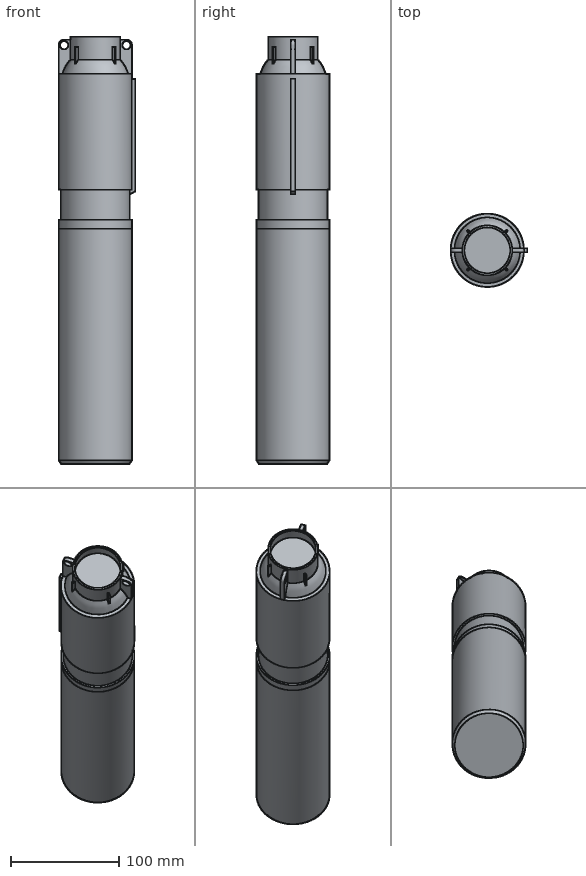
import cadquery as cq

TOTAL_HEIGHT = 395.0
BODY_RADIUS = 68.0 / 2

MOTOR_TOP = 217.5
BASE_CHAMFER_HEIGHT = 3.5
BASE_CHAMFER_WIDTH = 2.5

COLLAR_TOP = 226.0
SUCTION_RADIUS = 64.0 / 2
BARREL_BOTTOM = 253.5
BARREL_TOP = 360.5
DOME_BASE_RADIUS = 30.5
DOME_TOP = 373.5
DOME_MID_RADIUS = 27.3
DOME_MID_Z = 368.0
OUTLET_RADIUS = 46.2 / 2
BORE_DIAMETER = 42.3
BORE_DEPTH = 10.5

PLATE_THICKNESS = 4.0
LUG_TOP = 392.2
LUG_CORNER_RADIUS = 5.0
LUG_HOLE_DIAMETER = 7.5
LUG_HOLE_X = 29.0
LUG_HOLE_Z = LUG_TOP - LUG_CORNER_RADIUS

RIB_COUNT = 4
RIB_START_ANGLE = 45.0
RIB_THICKNESS = 1.5
RIB_TOP = 385.5
RIB_OUTER_RADIUS = 26.0

GUARD_OUTER_X = 37.0
GUARD_TOP = 356.0
GUARD_OUTER_BOTTOM = 252.0
GUARD_INNER_BOTTOM = 249.2


def make_motor():
    """Plain cylinder with a chamfered lower edge."""
    return (
        cq.Workplane("XZ")
        .lineTo(BODY_RADIUS - BASE_CHAMFER_WIDTH, 0)
        .lineTo(BODY_RADIUS, BASE_CHAMFER_HEIGHT)
        .lineTo(BODY_RADIUS, MOTOR_TOP)
        .lineTo(0, MOTOR_TOP)
        .close()
        .revolve(360, (0, 0, 0), (0, 1, 0))
    )


def make_pump_core():
    """Revolved pump body from the collar up to the outlet."""
    return (
        cq.Workplane("XZ")
        .moveTo(0, MOTOR_TOP)
        .lineTo(BODY_RADIUS, MOTOR_TOP)
        .lineTo(BODY_RADIUS, COLLAR_TOP)
        .lineTo(SUCTION_RADIUS, COLLAR_TOP)
        .lineTo(SUCTION_RADIUS, BARREL_BOTTOM)
        .lineTo(BODY_RADIUS, BARREL_BOTTOM)
        .lineTo(BODY_RADIUS, BARREL_TOP)
        .lineTo(DOME_BASE_RADIUS, BARREL_TOP)
        .threePointArc((DOME_MID_RADIUS, DOME_MID_Z), (OUTLET_RADIUS, DOME_TOP))
        .lineTo(OUTLET_RADIUS, TOTAL_HEIGHT)
        .lineTo(0, TOTAL_HEIGHT)
        .close()
        .revolve(360, (0, 0, 0), (0, 1, 0))
    )


def make_radial_plate(outer_radius, thickness, bottom, top):
    """Upright plate from the axis out to outer_radius along +X."""
    return cq.Workplane("XY").box(
        outer_radius, thickness, top - bottom, centered=(False, True, False)
    ).translate((0, 0, bottom))


def make_lug():
    """Lifting lug on the +X side, with a rounded top corner and a cross hole."""
    plate = make_radial_plate(BODY_RADIUS, PLATE_THICKNESS, BARREL_TOP, LUG_TOP)
    plate = plate.edges(">X and >Z").fillet(LUG_CORNER_RADIUS)
    hole = (
        cq.Workplane("XZ")
        .center(LUG_HOLE_X, LUG_HOLE_Z)
        .circle(LUG_HOLE_DIAMETER / 2)
        .extrude(PLATE_THICKNESS, both=True)
    )
    return plate.cut(hole)


def make_guard():
    """Cable guard strip whose sloped lower end meets the suction neck."""
    return (
        cq.Workplane("XZ")
        .moveTo(0, GUARD_INNER_BOTTOM)
        .lineTo(SUCTION_RADIUS, GUARD_INNER_BOTTOM)
        .lineTo(GUARD_OUTER_X, GUARD_OUTER_BOTTOM)
        .lineTo(GUARD_OUTER_X, GUARD_TOP)
        .lineTo(0, GUARD_TOP)
        .close()
        .extrude(PLATE_THICKNESS / 2, both=True)
    )


def make_pump():
    """Pump body with its lugs, ribs, cable guard and outlet bore."""
    pump = make_pump_core().union(make_guard())
    lug = make_lug()
    for angle in (0, 180):
        pump = pump.union(lug.rotate((0, 0, 0), (0, 0, 1), angle))

    rib = make_radial_plate(RIB_OUTER_RADIUS, RIB_THICKNESS, BARREL_TOP, RIB_TOP)
    for index in range(RIB_COUNT):
        angle = RIB_START_ANGLE + index * 360 / RIB_COUNT
        pump = pump.union(rib.rotate((0, 0, 0), (0, 0, 1), angle))

    bore = (
        cq.Workplane("XY", origin=(0, 0, TOTAL_HEIGHT - BORE_DEPTH))
        .circle(BORE_DIAMETER / 2)
        .extrude(BORE_DEPTH)
    )
    return pump.cut(bore)


motor = make_motor()
pump = make_pump()

result = cq.Compound.makeCompound([motor.val(), pump.val()])